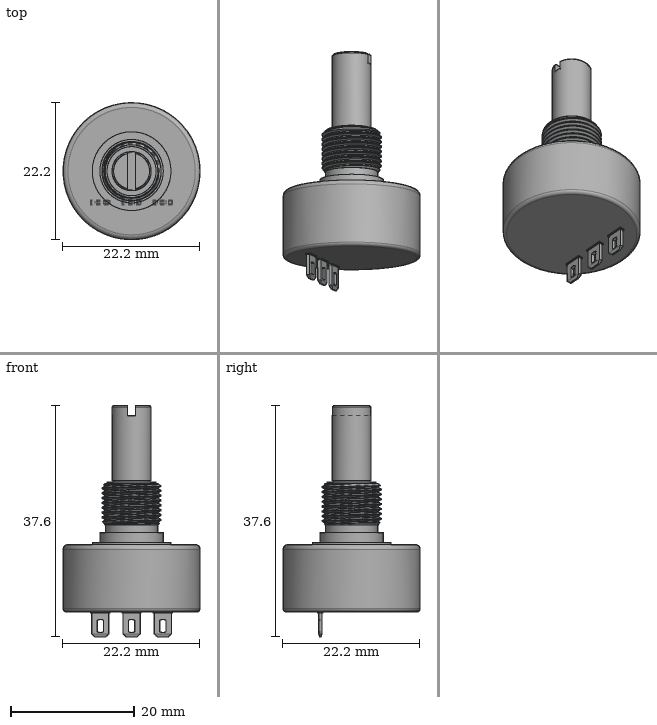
import cadquery as cq
import math

case_bottom = 4.05
case_top = 15.0
flange_top = 15.35
collar_top = 16.9
thread_bottom = 18.2
bushing_top = 25.15
shaft_shoulder = 25.35
shaft_top = 37.58

case_radius = 11.12
case_top_fillet = 0.8
case_bottom_fillet = 0.55
flange_radius = 6.4
collar_radius = 5.15
neck_radius = 4.25

thread_radius = 4.8
root_radius = 4.4
thread_pitch = 0.8
crest_width = 0.1
flank_angle = 30.0
crest_height_at_minus_x = 23.35
ridge_overlap = 0.08
lead_in_bottom_radius = 4.32
lead_in_bottom_height = 0.9
lead_in_top_radius = 4.3
lead_in_top_height = 0.65
nose_radius = 4.0
nose_height = 0.23
core_overrun = 1.88
lead_in_clearance = 0.15

shaft_diameter = 6.35
shaft_radius = shaft_diameter / 2
shaft_relief_radius = 3.0
shaft_chamfer = 0.25
slot_width = 1.25
slot_depth = 1.65

tab_count = 3
tab_spacing = 5.07
tab_y = -5.07
tab_width = 2.8
tab_thickness = 0.55
tab_tip_height = 0.53
tab_tip_thickness = 0.23
eyelet_width = 0.98
eyelet_bottom = 0.75
eyelet_top = 2.8
eyelet_end_rise = 0.1
pad_margin = 0.15
pad_height = 0.2


def disc(radius, bottom, top):
    """Upright cylinder between two heights."""
    return cq.Workplane("XY").workplane(offset=bottom).circle(radius).extrude(top - bottom)


def make_case():
    """Round case with rounded rims, topped by the flange and the locating collar."""
    case = disc(case_radius, case_bottom, case_top)
    case = case.faces(">Z").edges().fillet(case_top_fillet)
    case = case.faces("<Z").edges().fillet(case_bottom_fillet)
    flange = disc(flange_radius, case_top, flange_top)
    collar = disc(collar_radius, flange_top, collar_top)
    return case.union(flange).union(collar)


def make_thread_ridge():
    """Right-hand helical ridge that runs past both ends of the thread."""
    whole_turns_below = math.ceil((crest_height_at_minus_x - thread_bottom) / thread_pitch)
    start_height = crest_height_at_minus_x - whole_turns_below * thread_pitch
    ridge_length = bushing_top - start_height + thread_pitch
    inner_radius = root_radius - ridge_overlap
    half_crest = crest_width / 2
    half_base = half_crest + (thread_radius - inner_radius) * math.tan(math.radians(flank_angle))
    helix = cq.Wire.makeHelix(thread_pitch, ridge_length, inner_radius)
    ridge = (
        cq.Workplane("XZ")
        .polyline([
            (inner_radius, -half_base),
            (thread_radius, -half_crest),
            (thread_radius, half_crest),
            (inner_radius, half_base),
        ])
        .close()
        .sweep(cq.Workplane(obj=helix), isFrenet=True)
    )
    return ridge.rotate((0, 0, 0), (0, 0, 1), 180).translate((0, 0, start_height))


def make_bushing():
    """Neck and threaded bushing, with a lead-in cone at each end of the thread and a plain nose."""
    neck = disc(neck_radius, collar_top, thread_bottom)
    nose_bottom = bushing_top - nose_height
    outer_radius = thread_radius + lead_in_clearance
    envelope = (
        cq.Workplane("XZ")
        .polyline([
            (0, thread_bottom),
            (lead_in_bottom_radius, thread_bottom),
            (outer_radius, thread_bottom + lead_in_bottom_height),
            (outer_radius, nose_bottom - lead_in_top_height),
            (lead_in_top_radius, nose_bottom),
            (nose_radius, nose_bottom),
            (nose_radius, bushing_top),
            (0, bushing_top),
        ])
        .close()
        .revolve(360, (0, 0), (0, 1))
    )
    core = disc(root_radius, thread_bottom - core_overrun, bushing_top + core_overrun)
    thread = core.union(make_thread_ridge()).intersect(envelope)
    return neck.union(thread)


def make_shaft():
    """Shaft with a relieved foot, a chamfered end and a screwdriver slot along Y."""
    foot = disc(shaft_relief_radius, bushing_top, shaft_shoulder)
    shaft = disc(shaft_radius, shaft_shoulder, shaft_top).faces(">Z").edges().chamfer(shaft_chamfer)
    slot = (
        cq.Workplane("XY")
        .workplane(offset=shaft_top - slot_depth)
        .rect(slot_width, 2 * shaft_radius)
        .extrude(slot_depth)
    )
    return foot.union(shaft.cut(slot))


def make_tab():
    """Solder tab centred on X = 0, with a pad at its root, an eyelet and a wedge-shaped tip."""
    half_width = tab_width / 2
    half_thickness = tab_thickness / 2
    half_tip_width = half_width - tab_tip_height
    half_eyelet = eyelet_width / 2

    front_shape = (
        cq.Workplane("XZ")
        .polyline([
            (-half_tip_width, 0),
            (half_tip_width, 0),
            (half_width, tab_tip_height),
            (half_width, case_bottom),
            (-half_width, case_bottom),
            (-half_width, tab_tip_height),
        ])
        .close()
        .extrude(half_thickness, both=True)
    )
    side_shape = (
        cq.Workplane("YZ")
        .polyline([
            (-tab_tip_thickness / 2, 0),
            (tab_tip_thickness / 2, 0),
            (half_thickness, tab_tip_height),
            (half_thickness, case_bottom),
            (-half_thickness, case_bottom),
            (-half_thickness, tab_tip_height),
        ])
        .close()
        .extrude(half_width, both=True)
    )
    eyelet = (
        cq.Workplane("XZ")
        .moveTo(-half_eyelet, eyelet_bottom + eyelet_end_rise)
        .threePointArc((0, eyelet_bottom), (half_eyelet, eyelet_bottom + eyelet_end_rise))
        .lineTo(half_eyelet, eyelet_top - eyelet_end_rise)
        .threePointArc((0, eyelet_top), (-half_eyelet, eyelet_top - eyelet_end_rise))
        .close()
        .extrude(tab_thickness, both=True)
    )
    pad = (
        cq.Workplane("XY")
        .workplane(offset=case_bottom - pad_height)
        .rect(tab_width + 2 * pad_margin, tab_thickness + 2 * pad_margin)
        .extrude(pad_height)
    )
    return front_shape.intersect(side_shape).cut(eyelet).union(pad)


result = make_case().union(make_bushing()).union(make_shaft())
for index in range(tab_count):
    tab_x = (index - (tab_count - 1) / 2) * tab_spacing
    result = result.union(make_tab().translate((tab_x, tab_y, 0)))